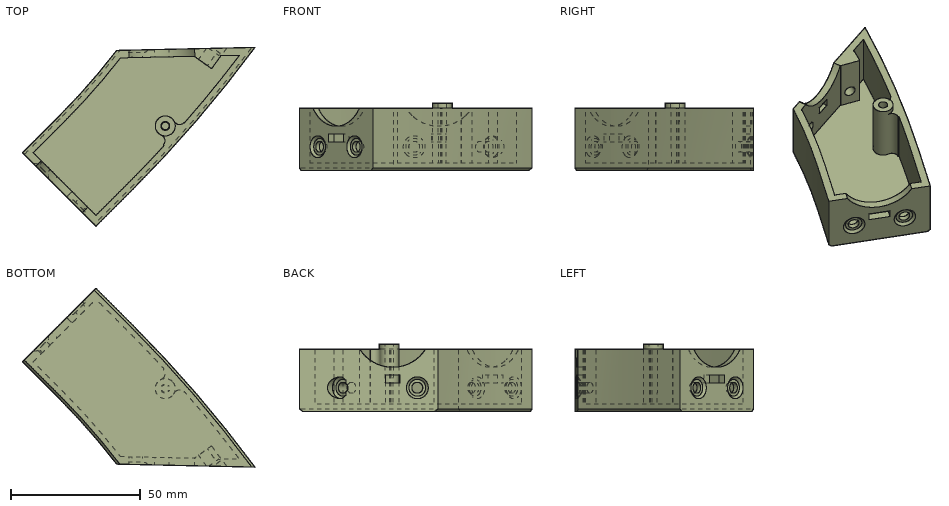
import cadquery as cq
import math

rim_height = 24.05
boss_height = 26.0
wall = 3.0
floor = 3.0
side_chamfer = 1.0

near_run = 28.35
near_left = (0, near_run)
near_right = (near_run, 0)
far_left = (36.3, 67.8)
far_right = (89.7, 69.0)
straight_run = 14.1
side_angle = 45
left_bend = (near_left[0] + straight_run, near_left[1] + straight_run)
right_bend = (near_right[0] + straight_run, near_right[1] + straight_run)

notch_radius = 15.0
notch_center_height = rim_height + 8.0

screw_height = 9.15
screw_diameter = 4.2
screw_radius = screw_diameter / 2
sink_radius = 4.2
sink_depth = 1.0
near_screw_spacing = 20.0
near_screw_offset = near_screw_spacing / 2
far_screw_offset = 9.5
slot_height = 3.05
slot_center_height = 12.6
near_slot_width = 8.2
far_slot_width = 5.5
far_center_distance = 17.4
cut_margin = 0.9

pad_start = (66.6, 65.3)
pad_tip = (72.9, 60.7)
pad_end = (76.4, 65.6)
pad_hole_distance = 3.8
pad_hole_length = 6.7
pad_hole_access = 5.4

boss_center = (55.1, 38.7)
boss_radius = 3.9
boss_hole_radius = 1.7
boss_hole_bottom_radius = 1.4
web_angle = 47
boss_to_wall = 4.4
web_fillet = 2.3
web_embed = 1.5


def between(start, end, fraction=0.5):
    """Point at the given fraction of the way from start to end."""
    return tuple(a + fraction * (b - a) for a, b in zip(start, end))


def direction(start, end):
    """Unit vector from start to end."""
    length = math.dist(start, end)
    return tuple((b - a) / length for a, b in zip(start, end))


def arc_middle(start, end):
    """Middle of the arc that leaves start along the straight side and finishes at end."""
    dx = end[0] - start[0]
    dy = end[1] - start[1]
    turn = math.atan2(dy, dx) - math.radians(side_angle)
    bulge = math.tan(turn / 2) / 2
    middle = between(start, end)
    return (middle[0] + bulge * dy, middle[1] - bulge * dx)


def outline():
    """Outer outline: two straight ends, and two sides that run straight and then bend."""
    return (
        cq.Workplane("XY")
        .moveTo(*near_right)
        .lineTo(*right_bend)
        .threePointArc(arc_middle(right_bend, far_right), far_right)
        .lineTo(*far_left)
        .threePointArc(arc_middle(left_bend, far_left), left_bend)
        .lineTo(*near_left)
        .close()
    )


def make_body():
    """Solid body, chamfered along the bottom of its side walls but not of its ends."""
    block = outline().extrude(rim_height)
    end_middles = [between(near_left, near_right), between(far_left, far_right)]
    ends = [
        block.edges(cq.NearestToPointSelector((x, y, 0))).val()
        for x, y in end_middles
    ]
    side_edges = [
        edge for edge in block.faces("<Z").edges().vals()
        if not any(edge.isSame(end) for end in ends)
    ]
    return block.newObject(side_edges).chamfer(side_chamfer)


def make_cavity():
    return (
        outline()
        .offset2D(-wall, kind="intersection")
        .extrude(rim_height - floor)
        .translate((0, 0, floor))
    )


def make_pad():
    """Thickened corner of the far wall, reaching back to the middle of that wall."""
    back = wall / 2
    return (
        cq.Workplane("XY")
        .polyline([
            pad_start,
            pad_tip,
            pad_end,
            (pad_end[0], pad_end[1] + back),
            (pad_start[0], pad_start[1] + back),
        ])
        .close()
        .extrude(rim_height)
    )


def make_web():
    """Web from the boss to the right side wall, flared by arcs tangent to the boss and the wall."""
    angle = math.radians(web_angle)
    plane = cq.Plane(
        origin=(*boss_center, 0),
        xDir=(math.cos(angle), math.sin(angle), 0),
        normal=(0, 0, 1),
    )
    center_y = web_fillet - boss_to_wall
    center_reach = boss_radius + web_fillet
    foot = math.sqrt(center_reach**2 - center_y**2)
    touch_x = foot * boss_radius / center_reach
    touch_y = center_y * boss_radius / center_reach
    touch_angle = math.atan2(-center_y, -foot)
    wall_angle = math.radians(270)
    middle_angle = (touch_angle + wall_angle) / 2
    middle_x = foot + web_fillet * math.cos(middle_angle)
    middle_y = center_y + web_fillet * math.sin(middle_angle)
    base_y = -boss_to_wall - web_embed
    return (
        cq.Workplane(plane)
        .moveTo(-touch_x, touch_y)
        .lineTo(touch_x, touch_y)
        .threePointArc((middle_x, middle_y), (foot, -boss_to_wall))
        .lineTo(foot, base_y)
        .lineTo(-foot, base_y)
        .lineTo(-foot, -boss_to_wall)
        .threePointArc((-middle_x, middle_y), (-touch_x, touch_y))
        .close()
        .extrude(rim_height)
    )


def make_boss():
    return cq.Workplane("XY").center(*boss_center).circle(boss_radius).extrude(boss_height)


def make_boss_hole():
    """Slightly tapered blind hole from the boss top to the cavity floor."""
    return (
        cq.Workplane("XY", origin=(*boss_center, floor))
        .circle(boss_hole_bottom_radius)
        .workplane(offset=boss_height - floor)
        .circle(boss_hole_radius)
        .loft()
    )


def end_plane(origin, along):
    """Plane on an end: local X runs along it, local Y is up and local Z points outward."""
    return cq.Plane(
        origin=(*origin, 0),
        xDir=(*along, 0),
        normal=(along[1], -along[0], 0),
    )


def screw_hole(plane, offset, length=wall, access=cut_margin):
    """Countersunk through hole; a cylinder clears access outward from its wide end."""
    profile = [
        (0, -length - cut_margin),
        (screw_radius, -length - cut_margin),
        (screw_radius, -sink_depth),
        (sink_radius - sink_depth, -sink_depth),
        (sink_radius, 0),
        (sink_radius, access),
        (0, access),
    ]
    center = plane.toWorldCoords((offset, screw_height, 0))
    axis_plane = cq.Plane(origin=center, xDir=plane.xDir, normal=-plane.yDir)
    return (
        cq.Workplane(axis_plane)
        .polyline(profile)
        .close()
        .revolve(360, (0, 0, 0), (0, 1, 0))
    )


def notch_and_slot(plane, slot_width):
    """Round notch in the rim and rectangular slot below it, both through the wall."""
    surface = cq.Workplane(plane).workplane(offset=cut_margin)
    depth = wall + 2 * cut_margin
    notch = surface.center(0, notch_center_height).circle(notch_radius).extrude(-depth)
    slot = surface.center(0, slot_center_height).rect(slot_width, slot_height).extrude(-depth)
    return notch.union(slot)


result = (
    make_body()
    .cut(make_cavity())
    .union(make_pad())
    .union(make_web())
    .union(make_boss())
    .cut(make_boss_hole())
)

near_plane = end_plane(between(near_left, near_right), direction(near_left, near_right))
result = result.cut(notch_and_slot(near_plane, near_slot_width))
for side in (-1, 1):
    result = result.cut(screw_hole(near_plane, side * near_screw_offset))

far_fraction = far_center_distance / math.dist(far_left, far_right)
far_center = between(far_left, far_right, far_fraction)
far_plane = end_plane(far_center, direction(far_right, far_left))
result = result.cut(notch_and_slot(far_plane, far_slot_width))
result = result.cut(screw_hole(far_plane, far_screw_offset))

pad_along = direction(pad_tip, pad_start)
pad_outward = (pad_along[1], -pad_along[0])
pad_hole_fraction = pad_hole_distance / math.dist(pad_start, pad_tip)
pad_hole_face = between(pad_start, pad_tip, pad_hole_fraction)
pad_hole_mouth = tuple(p + pad_hole_length * n for p, n in zip(pad_hole_face, pad_outward))
pad_plane = end_plane(pad_hole_mouth, pad_along)
result = result.cut(screw_hole(pad_plane, 0, pad_hole_length, pad_hole_access))